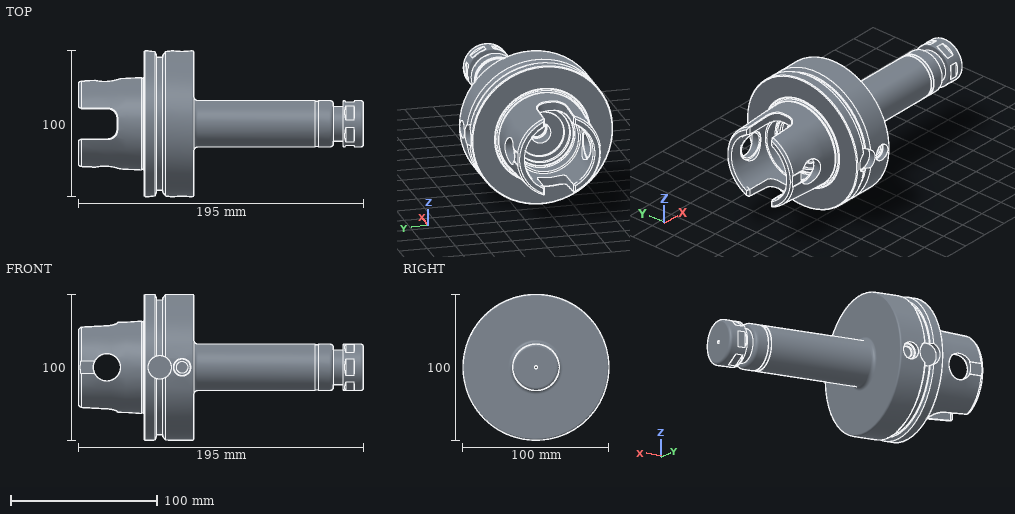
import cadquery as cq
import math


overall_length = 195.0
flange_start = 45.0
flange_end = 79.0
stem_end = 174.5
nut_start = 181.0

gauge_radius = 31.5
gauge_x = 38.7
taper_slope = 1 / 20.0
mouth_chamfer_length = 2.0
mouth_chamfer_drop = 1.3
undercut_start = 43.0
undercut_radius = 31.3
undercut_wall_length = 0.5
undercut_lip = 0.6
face_recess_radius = 34.0
face_recess_depth = 0.4
face_recess_bevel = 0.7

bore_radius = 24.3
bore_mouth_radius = 25.0
bore_mouth_chamfer = 2.2
bore_end = 33.2
bore_end_chamfer = 1.0
bore_end_chamfer_drop = 0.3
cavity_steps = ((43.0, 22.7), (44.5, 21.7), (47.0, 19.7), (49.0, 16.1))
floor_x = cavity_steps[-1][0]

tube_seat_diameter = 14.0
tube_seat_neck_diameter = 12.9
tube_seat_depth = 10.0
tube_seat_neck_depth = 2.0
passage_diameter = 5.0
passage_neck_diameter = 4.5
passage_depth = 12.0
passage_neck_depth = 2.0
through_diameter = 2.0

flange_radius = 50.0
flange_front_chamfer = 0.6
flange_back_fillet = 1.2
groove_start = 53.5
groove_end = 57.6
groove_floor_radius = 46.3
groove_front_bevel_run = 1.2
groove_back_bevel_run = 2.0
groove_bevel_drop = 2.6

index_hole_diameter = 16.0
index_hole_x = 55.6
index_hole_floor = 45.0
screw_hole_x = 70.9
screw_hole_diameter = 11.2
screw_hole_mouth_diameter = 12.0
screw_hole_mouth_depth = 4.2
screw_hole_floor = 45.0
screw_core_diameter = 8.0
screw_core_floor = 43.5

slot_width = 20.5
slot_end = 26.3
slot_corner_radius = 6.4
slot_rim_chamfer = 0.6
slot_mouth_width = 22.8
slot_mouth_length = 2.2
rim_tolerance = 0.01
cross_hole_diameter = 18.5
cross_hole_x = 19.4
cross_hole_counterbore_diameter = 21.0
cross_hole_counterbore_floor = 24.6
keyway_width = 8.7
keyway_floor = 29.1

stem_radius = 16.0
stem_root_fillet = 2.7
stem_end_fillet = 2.5
band_start = 161.9
band_end = 164.4
band_radius = 15.6
neck_radius = 12.0

nut_radius = 16.0
nut_back_fillet = 0.9
nut_front_fillet = 2.0
flat_count = 6
flat_start = 182.9
flat_end = 188.5
flat_distance = 15.0
flat_back_run = 0.8
flat_front_run = 0.5
flat_overshoot = 0.5


def taper_radius(x):
    return gauge_radius + (x - gauge_x) * taper_slope


def quarter_arc_middle(center_x, center_r, radius, side_x, side_r):
    """Middle point of a quarter arc lying in the given quadrant of its centre."""
    offset = radius * math.sqrt(0.5)
    return center_x + side_x * offset, center_r + side_r * offset


def radial_cylinder(x, diameter, inner, outer, side):
    """Cylinder along Y on the +Y or -Y side, between two distances from the axis."""
    plane = cq.Plane(origin=(x, side * inner, 0), xDir=(1, 0, 0), normal=(0, side, 0))
    return cq.Workplane(plane).circle(diameter / 2).extrude(outer - inner)


def axial_cylinder(start, end, diameter):
    return cq.Workplane("YZ").workplane(offset=start).circle(diameter / 2).extrude(end - start)


def make_outside():
    mouth_end_radius = taper_radius(mouth_chamfer_length)
    profile = (
        cq.Workplane("XY")
        .moveTo(0, 0)
        .lineTo(0, mouth_end_radius - mouth_chamfer_drop)
        .lineTo(mouth_chamfer_length, mouth_end_radius)
        .lineTo(undercut_start, taper_radius(undercut_start))
        .lineTo(undercut_start + undercut_wall_length, undercut_radius)
        .lineTo(flange_start - undercut_lip, undercut_radius)
        .lineTo(flange_start + face_recess_depth, undercut_radius + undercut_lip + face_recess_depth)
        .lineTo(flange_start + face_recess_depth, face_recess_radius - face_recess_bevel)
        .lineTo(flange_start, face_recess_radius)
        .lineTo(flange_start, flange_radius - flange_front_chamfer)
        .lineTo(flange_start + flange_front_chamfer, flange_radius)
        .lineTo(groove_start - groove_front_bevel_run, flange_radius)
        .lineTo(groove_start, flange_radius - groove_bevel_drop)
        .lineTo(groove_start, groove_floor_radius)
        .lineTo(groove_end, groove_floor_radius)
        .lineTo(groove_end, flange_radius - groove_bevel_drop)
        .lineTo(groove_end + groove_back_bevel_run, flange_radius)
        .lineTo(flange_end - flange_back_fillet, flange_radius)
        .threePointArc(
            quarter_arc_middle(
                flange_end - flange_back_fillet, flange_radius - flange_back_fillet, flange_back_fillet, 1, 1
            ),
            (flange_end, flange_radius - flange_back_fillet),
        )
        .lineTo(flange_end, stem_radius + stem_root_fillet)
        .threePointArc(
            quarter_arc_middle(
                flange_end + stem_root_fillet, stem_radius + stem_root_fillet, stem_root_fillet, -1, -1
            ),
            (flange_end + stem_root_fillet, stem_radius),
        )
        .lineTo(band_start, stem_radius)
        .lineTo(band_start, band_radius)
        .lineTo(band_end, band_radius)
        .lineTo(band_end, stem_radius)
        .lineTo(stem_end - stem_end_fillet, stem_radius)
        .threePointArc(
            quarter_arc_middle(
                stem_end - stem_end_fillet, stem_radius - stem_end_fillet, stem_end_fillet, 1, 1
            ),
            (stem_end, stem_radius - stem_end_fillet),
        )
        .lineTo(stem_end, neck_radius)
        .lineTo(nut_start, neck_radius)
        .lineTo(nut_start, nut_radius - nut_back_fillet)
        .threePointArc(
            quarter_arc_middle(
                nut_start + nut_back_fillet, nut_radius - nut_back_fillet, nut_back_fillet, -1, 1
            ),
            (nut_start + nut_back_fillet, nut_radius),
        )
        .lineTo(overall_length - nut_front_fillet, nut_radius)
        .threePointArc(
            quarter_arc_middle(
                overall_length - nut_front_fillet, nut_radius - nut_front_fillet, nut_front_fillet, 1, 1
            ),
            (overall_length, nut_radius - nut_front_fillet),
        )
        .lineTo(overall_length, 0)
        .close()
    )
    return profile.revolve(360, (0, 0, 0), (1, 0, 0))


def make_cavity():
    wall_start = bore_end + bore_end_chamfer
    profile = (
        cq.Workplane("XY")
        .moveTo(0, 0)
        .lineTo(0, bore_mouth_radius)
        .lineTo(bore_mouth_chamfer, bore_radius)
        .lineTo(bore_end, bore_radius)
        .lineTo(wall_start, bore_radius - bore_end_chamfer_drop)
    )
    for wall_end, wall_radius in cavity_steps:
        profile = profile.lineTo(wall_start, wall_radius).lineTo(wall_end, wall_radius)
        wall_start = wall_end
    profile = profile.lineTo(floor_x, 0).close()
    return profile.revolve(360, (0, 0, 0), (1, 0, 0))


def make_passage():
    """Stepped bore from the cavity floor, ending in a small hole through the nose."""
    steps = (
        (tube_seat_depth, tube_seat_diameter),
        (tube_seat_neck_depth, tube_seat_neck_diameter),
        (passage_depth, passage_diameter),
        (passage_neck_depth, passage_neck_diameter),
    )
    bore = axial_cylinder(floor_x, overall_length, through_diameter)
    start = floor_x
    for depth, diameter in steps:
        bore = bore.union(axial_cylinder(start, start + depth, diameter))
        start += depth
    return bore


def make_drive_slots():
    """One cutter through both Z sides; its closed end has rounded corners."""
    overshoot = slot_width
    slot = cq.Workplane("XY").box(slot_end + overshoot, slot_width, 2 * flange_radius)
    slot = slot.edges("|Z and >X").fillet(slot_corner_radius)
    return slot.translate(((slot_end - overshoot) / 2, 0, 0))


def make_slot_mouth():
    """Wedge that flares both slots at the open end."""
    half_mouth = slot_mouth_width / 2
    half_slot = slot_width / 2
    return (
        cq.Workplane("XY")
        .moveTo(0, -half_mouth)
        .lineTo(slot_mouth_length, -half_slot)
        .lineTo(slot_mouth_length, half_slot)
        .lineTo(0, half_mouth)
        .close()
        .extrude(flange_radius, both=True)
    )


def is_slot_rim(edge):
    """True for an edge where a drive slot leaves the outside of the taper."""
    middle = edge.positionAt(0.5)
    on_taper = abs(math.hypot(middle.y, middle.z) - taper_radius(middle.x)) < rim_tolerance
    in_slot = abs(middle.y) < slot_width / 2 + rim_tolerance
    return on_taper and in_slot and mouth_chamfer_length < middle.x < slot_end + rim_tolerance


def cut_drive_slots(body):
    body = body.cut(make_drive_slots())
    rims = [edge for edge in body.edges().vals() if is_slot_rim(edge)]
    body = body.newObject(rims).chamfer(slot_rim_chamfer)
    return body.cut(make_slot_mouth())


def make_keyway(side):
    """Shallow flat-floored groove from the open end to the cross hole."""
    height = flange_radius - keyway_floor
    box = cq.Workplane("XY").box(cross_hole_x, height, keyway_width)
    return box.translate((cross_hole_x / 2, side * (keyway_floor + height / 2), 0))


def make_cross_hole(side):
    """Hole through one side of the taper, widened next to the bore."""
    inner_end = cross_hole_counterbore_floor
    hole = radial_cylinder(cross_hole_x, cross_hole_diameter, 0, flange_radius, side)
    counterbore = radial_cylinder(cross_hole_x, cross_hole_counterbore_diameter, 0, inner_end, side)
    return hole.union(counterbore)


def make_flange_holes(side):
    index_hole = radial_cylinder(index_hole_x, index_hole_diameter, index_hole_floor, flange_radius, side)
    mouth_floor = flange_radius - screw_hole_mouth_depth
    mouth = radial_cylinder(screw_hole_x, screw_hole_mouth_diameter, mouth_floor, flange_radius, side)
    screw_hole = radial_cylinder(screw_hole_x, screw_hole_diameter, screw_hole_floor, flange_radius, side)
    core = radial_cylinder(screw_hole_x, screw_core_diameter, screw_core_floor, flange_radius, side)
    return index_hole.union(mouth).union(screw_hole).union(core)


def make_nut_flat():
    """Wrench flat on the +Y side with sloping ends."""
    height = nut_radius - flat_distance + flat_overshoot
    return (
        cq.Workplane("XY")
        .moveTo(flat_start, flat_distance)
        .lineTo(flat_end, flat_distance)
        .lineTo(flat_end + flat_front_run * height, flat_distance + height)
        .lineTo(flat_start - flat_back_run * height, flat_distance + height)
        .close()
        .extrude(nut_radius / 2, both=True)
    )


holder = make_outside().cut(make_cavity()).cut(make_passage())
holder = cut_drive_slots(holder)
for side in (-1, 1):
    holder = holder.cut(make_cross_hole(side))
    holder = holder.cut(make_keyway(side))
    holder = holder.cut(make_flange_holes(side))
for index in range(flat_count):
    turn = index * 360 / flat_count
    holder = holder.cut(make_nut_flat().rotate((0, 0, 0), (1, 0, 0), turn))

result = holder